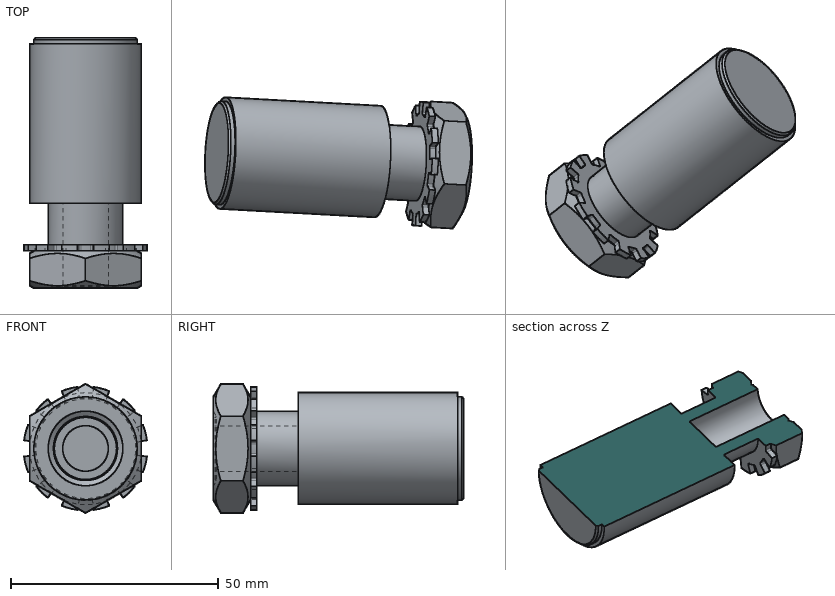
import cadquery as cq
import math

total_length = 60.4

nut_flats = 27.0
nut_thickness = 9.0
nut_face_radius = 12.45
cone_angle = 30.0
countersink_radius = 9.0

screw_radius = 7.75
screw_recess = 0.4
screw_chamfer = 0.25
screw_hole_radius = 5.5

washer_thickness = 1.5
washer_radius = 15.0
washer_root_radius = 12.2
tooth_count = 12
tooth_gap_angle = 14.8
tooth_root_fillet = 0.4

neck_radius = 9.0
neck_length = 9.95
sleeve_radius = nut_flats / 2
cap_radius = 12.5
cap_thickness = 1.5
cap_chamfer = 0.5

neck_start = nut_thickness + washer_thickness
sleeve_start = neck_start + neck_length
cap_start = total_length - cap_thickness


def turned(profile):
    """Solid of revolution about the Y axis from (radius, y) points."""
    return cq.Workplane("XY").polyline(profile).close().revolve(360, (0, 0, 0), (0, 1, 0))


def disc(radius, start, end):
    """Solid cylinder on the Y axis between two Y positions."""
    return cq.Workplane("XZ", origin=(0, start, 0)).circle(radius).extrude(start - end)


def make_nut():
    """Hexagon with corners on +Z and -Z, turned to a cone at both ends and countersunk in front."""
    corner_radius = nut_flats / math.sqrt(3)
    hexagon = (
        cq.Workplane("XZ")
        .polygon(6, 2 * corner_radius)
        .extrude(-nut_thickness)
        .rotate((0, 0, 0), (0, 1, 0), 90)
    )
    cone_length = (corner_radius - nut_face_radius) * math.tan(math.radians(cone_angle))
    blank = turned([
        (0, 0),
        (nut_face_radius, 0),
        (corner_radius, cone_length),
        (corner_radius, nut_thickness - cone_length),
        (nut_face_radius, nut_thickness),
        (0, nut_thickness),
    ])
    countersink_depth = (countersink_radius - screw_radius) * math.tan(math.radians(cone_angle))
    countersink = turned([
        (0, 0),
        (countersink_radius, 0),
        (screw_radius, countersink_depth),
        (0, countersink_depth),
    ])
    return hexagon.intersect(blank).cut(countersink)


def make_screw():
    """Screw shaft through the nut and washer, with a small chamfer on its recessed end."""
    return disc(screw_radius, screw_recess, neck_start).faces("<Y").chamfer(screw_chamfer)


def make_washer():
    """Disc whose rim is cut into teeth by radial-sided gaps with rounded root corners."""
    washer = disc(washer_radius, nut_thickness, neck_start)
    wedge_height = 2 * washer_radius
    wedge_half_width = wedge_height * math.tan(math.radians(tooth_gap_angle / 2))
    gap = (
        cq.Workplane("XZ", origin=(0, nut_thickness, 0))
        .polyline([(0, 0), (wedge_half_width, wedge_height), (-wedge_half_width, wedge_height)])
        .close()
        .extrude(-washer_thickness)
        .cut(disc(washer_root_radius, nut_thickness, neck_start))
        .edges("|Y and <Z")
        .fillet(tooth_root_fillet)
    )
    for index in range(tooth_count):
        washer = washer.cut(gap.rotate((0, 0, 0), (0, 1, 0), index * 360 / tooth_count))
    return washer


def make_sleeve():
    """Neck, sleeve and chamfered end cap."""
    neck = disc(neck_radius, neck_start, sleeve_start)
    sleeve = disc(sleeve_radius, sleeve_start, cap_start)
    cap = disc(cap_radius, cap_start, total_length).faces(">Y").chamfer(cap_chamfer)
    return neck.union(sleeve).union(cap)


screw_hole = disc(screw_hole_radius, 0, sleeve_start)

result = (
    make_nut()
    .union(make_screw())
    .union(make_washer())
    .union(make_sleeve())
    .cut(screw_hole)
)